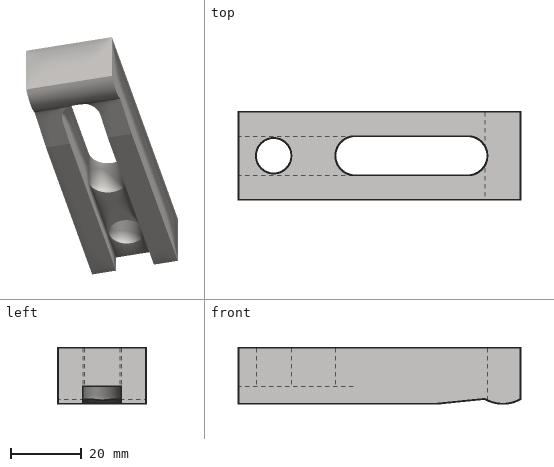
import cadquery as cq
import math

length = 80.0
width = 25.0
height = 16.0

ramp_start_x = 56.0
nose_start_x = 69.8
nose_crest_x = 75.0
nose_radius = 10.0

hole_x = 10.0
hole_diameter = 10.0
slot_width = 11.0
slot_center_x = 49.0
slot_length = 43.0
groove_depth = 5.0


def nose_height(x):
    """Height of the nose arc above the base plane; its crest touches the base."""
    return nose_radius - math.sqrt(nose_radius**2 - (x - nose_crest_x) ** 2)


def make_body():
    """Side profile extruded symmetrically across the clamp width."""
    return (
        cq.Workplane("XZ")
        .lineTo(ramp_start_x, 0)
        .lineTo(nose_start_x, nose_height(nose_start_x))
        .threePointArc((nose_crest_x, 0), (length, nose_height(length)))
        .lineTo(length, height)
        .lineTo(0, height)
        .close()
        .extrude(width / 2, both=True)
    )


def make_hole():
    """Round vertical through hole."""
    return cq.Workplane("XY").center(hole_x, 0).circle(hole_diameter / 2).extrude(height)


def make_slot():
    """Vertical through slot with round ends."""
    return cq.Workplane("XY").center(slot_center_x, 0).slot2D(slot_length, slot_width).extrude(height)


def make_groove():
    """Underside groove from the rear face into the slot, as wide as the slot."""
    return cq.Workplane("XY").box(slot_center_x, slot_width, groove_depth, centered=(False, True, False))


result = make_body().cut(make_hole()).cut(make_slot()).cut(make_groove())